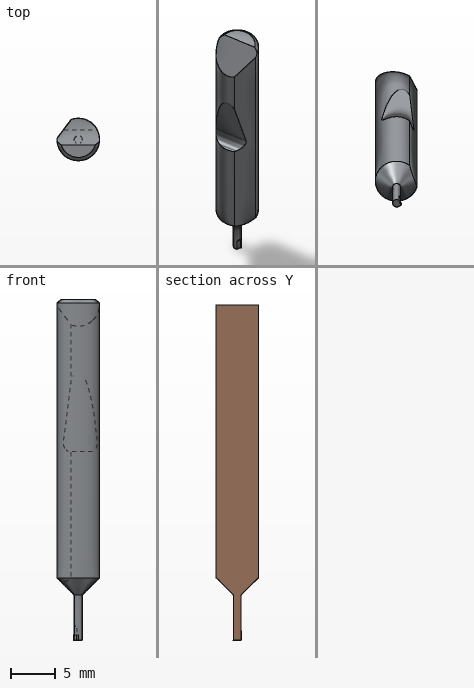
import math

import cadquery as cq

total_length = 38.1
shank_radius = 4.7625 / 2

neck_radius = 0.45
neck_length = 5.08
cone_height = shank_radius - neck_radius
shank_start = neck_length + cone_height

rim_chamfer = 0.38
end_cut_start_y = -0.6

notch_bottom = 21.1
notch_depth = 1.3
notch_slope = math.radians(9.5)
notch_radius = 1.0

flat_direction = 143.0
shank_flat_distance = 1.98
neck_flat_distance = 0.378
neck_flat_top = 1.65
neck_flat_corner = 0.4

tip_x = -0.55
head_height = 0.6
flank_end_x = -0.2
head_back_x = 0.03
flank_bulge = 0.02
end_relief = 3.0

clearance = 3 * shank_radius


def make_blank():
    """Neck, cone and chamfered shank, turned about Z."""
    return (
        cq.Workplane("XZ")
        .moveTo(0, 0)
        .lineTo(-neck_radius, 0)
        .lineTo(-neck_radius, neck_length)
        .lineTo(-shank_radius, shank_start)
        .lineTo(-shank_radius, total_length - rim_chamfer)
        .lineTo(-shank_radius + rim_chamfer, total_length)
        .lineTo(0, total_length)
        .close()
        .revolve(360, (0, 0, 0), (0, 1, 0))
    )


def make_end_cut():
    """Wedge that slopes the shank end down at 45 degrees toward +Y."""
    return (
        cq.Workplane("YZ")
        .moveTo(end_cut_start_y, total_length)
        .lineTo(end_cut_start_y + clearance, total_length - clearance)
        .lineTo(end_cut_start_y + clearance, total_length)
        .close()
        .extrude(clearance, both=True)
    )


def make_notch():
    """Clamping notch: a long shallow slope running into a rounded step."""
    floor_y = shank_radius - notch_depth
    centre_y = floor_y + notch_radius
    centre_z = notch_bottom + notch_radius
    tangent_y = centre_y - notch_radius * math.cos(notch_slope)
    tangent_z = centre_z + notch_radius * math.sin(notch_slope)
    reach = clearance - tangent_y
    return (
        cq.Workplane("YZ")
        .moveTo(clearance, notch_bottom)
        .lineTo(centre_y, notch_bottom)
        .radiusArc((tangent_y, tangent_z), notch_radius)
        .lineTo(clearance, tangent_z + reach / math.tan(notch_slope))
        .close()
        .extrude(clearance, both=True)
    )


def make_shank_flat():
    """Full-length flat along the shank and the wide end of the cone."""
    return (
        cq.Workplane("XY")
        .box(clearance, 2 * clearance, total_length, centered=(False, True, False))
        .translate((shank_flat_distance, 0, 0))
        .rotate((0, 0, 0), (0, 0, 1), flat_direction)
    )


def make_neck_flat():
    """Short chip flat beside the head, its upper +Y corner rounded."""
    half_width = math.sqrt(neck_radius**2 - neck_flat_distance**2)
    return (
        cq.Workplane("YZ")
        .moveTo(half_width, 0)
        .lineTo(half_width, neck_flat_top)
        .lineTo(neck_flat_corner - half_width, neck_flat_top)
        .radiusArc((-half_width, neck_flat_top - neck_flat_corner), -neck_flat_corner)
        .lineTo(-half_width, 0)
        .close()
        .extrude(clearance)
        .translate((neck_flat_distance, 0, 0))
        .rotate((0, 0, 0), (0, 0, 1), flat_direction)
    )


def make_head():
    """Cutting head: rake face on the XZ plane, convex flank falling away from the tip."""
    return (
        cq.Workplane("XY")
        .moveTo(tip_x, 0)
        .sagittaArc((flank_end_x, -neck_radius), -flank_bulge)
        .lineTo(head_back_x, -neck_radius)
        .lineTo(head_back_x, 0)
        .close()
        .extrude(head_height)
    )


def make_end_relief():
    """Block below the end face, which rises from the tip toward +X and away from the rake face."""
    block = cq.Workplane("XY").box(clearance, clearance, clearance, centered=(True, True, False))
    return (
        block.translate((0, 0, -clearance))
        .rotate((0, 0, 0), (1, 0, 0), -end_relief)
        .rotate((0, 0, 0), (0, 1, 0), -end_relief)
        .translate((tip_x, 0, 0))
    )


result = (
    make_blank()
    .cut(make_end_cut())
    .cut(make_notch())
    .cut(make_shank_flat())
    .cut(make_neck_flat())
    .union(make_head())
    .cut(make_end_relief())
)